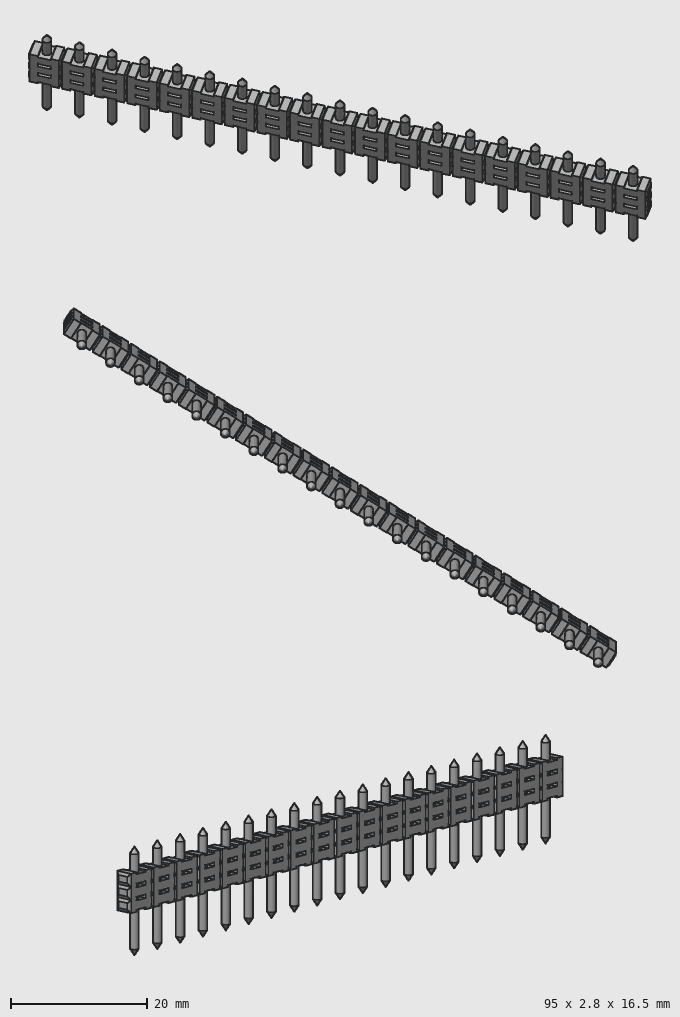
import cadquery as cq


strip_length = 95.0
position_count = 19
pitch = strip_length / position_count

block_depth = 2.8
layer_height = 2.0
layer_count = 3
block_height = layer_count * layer_height

boss_length = 0.25
boss_inset = 2 * boss_length
block_width = pitch - 2 * boss_length

slot_width = 2.0
slot_height = 0.6

pin_diameter = 1.3
pin_above_block = 3.5
pin_below_block = 7.0
pin_point_length = 1.0


def make_end_boss(layer_center_z, side):
    """Truncated pyramid on the end face at side = +1 (+X) or -1 (-X)."""
    end_face = cq.Plane(
        origin=(side * block_width / 2, 0, layer_center_z),
        xDir=(0, 1, 0),
        normal=(side, 0, 0),
    )
    return (
        cq.Workplane(end_face)
        .rect(block_depth, layer_height)
        .workplane(offset=boss_length)
        .rect(block_depth - 2 * boss_inset, layer_height - 2 * boss_inset)
        .loft(combine=True)
    )


def make_block():
    """Slotted insulator block with a tapered boss on both ends of every layer."""
    block = cq.Workplane("XY").box(block_width, block_depth, block_height, centered=(True, True, False))
    for boundary in range(layer_count + 1):
        slot = cq.Workplane("XY").box(slot_width, block_depth, slot_height)
        block = block.cut(slot.translate((0, 0, boundary * layer_height)))
    for layer in range(layer_count):
        layer_center_z = (layer + 0.5) * layer_height
        for side in (-1, 1):
            block = block.union(make_end_boss(layer_center_z, side))
    return block


def make_pin():
    """Round pin with a conical point at both ends."""
    radius = pin_diameter / 2
    bottom = -pin_below_block
    top = block_height + pin_above_block
    half_profile = (
        cq.Workplane("XZ")
        .moveTo(0, bottom)
        .lineTo(radius, bottom + pin_point_length)
        .lineTo(radius, top - pin_point_length)
        .lineTo(0, top)
        .close()
    )
    return half_profile.revolve(360, (0, 0, 0), (0, 1, 0))


position = make_block().union(make_pin())

first_center_x = (pitch - strip_length) / 2
row_centers = [(first_center_x + index * pitch, 0, 0) for index in range(position_count)]
positions = [position.val().moved(cq.Location(cq.Vector(*center))) for center in row_centers]
strip = positions[0].fuse(*positions[1:])
result = cq.Workplane("XY").newObject([strip]).solids()